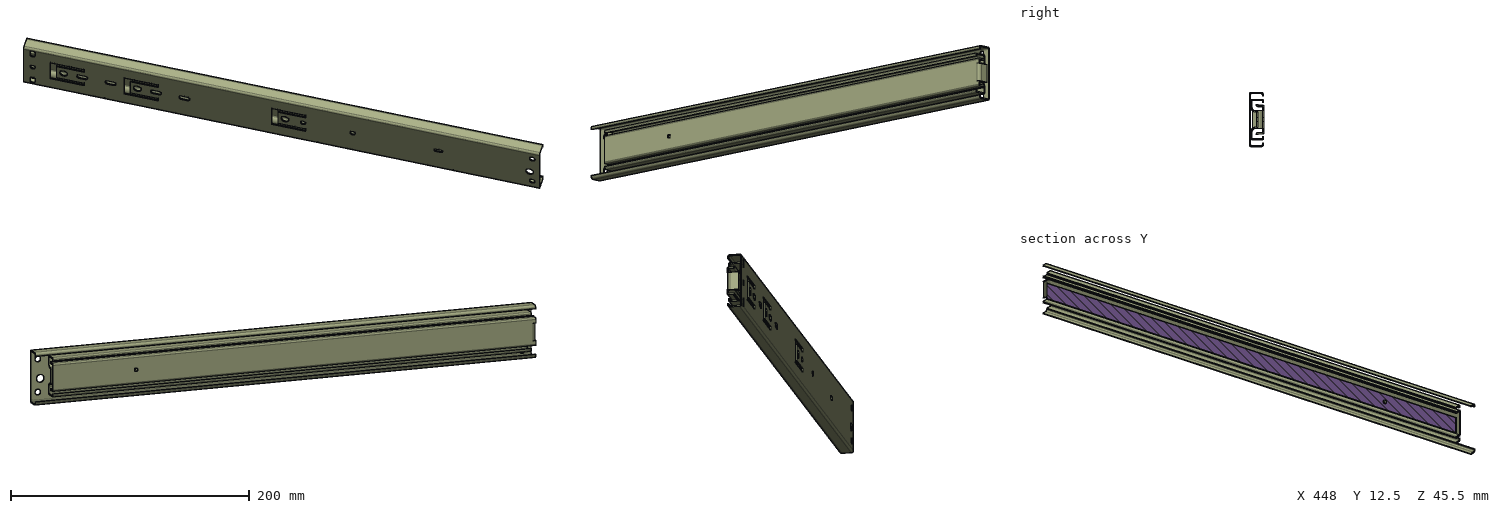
import cadquery as cq
import math


length = 448.0
depth = 12.5
width = 45.5

outer_sheet = 1.1
outer_depth = 12.0
outer_lip = 3.0
outer_back_bend = 2.0
outer_lip_bend = 2.2

middle_sheet = 1.1
middle_start = 4.0
middle_end = 432.5
web_gap = 0.22
middle_back = outer_sheet + web_gap
middle_front = outer_depth
middle_half_width = 17.0
middle_lip = 2.5
middle_bend = 1.5
hat_half_width = 6.3
hat_front = 7.0
hat_root_bend = 4.0
hat_crown_bend = 1.5

inner_sheet = 1.5
inner_end = middle_end
inner_half_width = 12.0
inner_back = 6.0
inner_lip = 2.0
inner_bend = 1.5

stop_half_width = 7.5
stop_back = 2.5
stop_bend = 2.5
stop_arm = 3.0

pitch = 64.0
slot_height = 4.5
slot_length = 9.5

first_tab = 23.5
tab_starts = [first_tab, first_tab + pitch, first_tab + 3 * pitch]
slotted_tab_starts = tab_starts[:2]
tab_window = 5.5
tab_cut_length = 29.5
tab_half_width = 7.0
tab_cut_width = 3.0
tab_hole_diameter = 6.5
tab_hole_offset = 11.5
tab_slot_offset = 28.0

first_web_slot = 75.5
web_slots = [first_web_slot, first_web_slot + pitch]
round_hole_diameter = 4.5
round_holes = [8.0, 243.0, 286.0]
end_slot_x = 8.0
end_slot_z = 17.0
end_slot_height = 7.5
mount_hole_x = 441.7
mount_hole_z = 14.5
mount_hole_diameter = 5.0
latch_hole_x = 439.5
latch_hole_z = -2.5
latch_hole_diameter = 6.5
pin_hole_x = 358.0
pin_hole_diameter = 3.0
pin_slot_x = 360.0
pin_slot_length = 7.5


def offset_line(path, thickness):
    """Shift a square-cornered (y, z) path by the sheet thickness to its left."""
    directions = []
    for (y0, z0), (y1, z1) in zip(path, path[1:]):
        run = math.hypot(y1 - y0, z1 - z0)
        directions.append(((y1 - y0) / run, (z1 - z0) / run))
    shifted = []
    for index, (y, z) in enumerate(path):
        before = directions[max(index - 1, 0)]
        after = directions[min(index, len(directions) - 1)]
        normals = {(-before[1], before[0]), (-after[1], after[0])}
        shifted.append((
            y + thickness * sum(normal[0] for normal in normals),
            z + thickness * sum(normal[1] for normal in normals),
        ))
    return shifted


def bent_sheet(half_path, bends, thickness, start, end):
    """Extrude a folded sheet, symmetric about Z = 0, along X and round its bends.

    Each bend radius is that of the outside of the bend; the inside is smaller by the sheet thickness.
    """
    path = half_path + [(y, -z) for y, z in reversed(half_path)]
    other = offset_line(path, thickness)
    radii = bends + bends[::-1]
    sheet = cq.Workplane("YZ", origin=(start, 0, 0)).polyline(path + other[::-1]).close().extrude(end - start)
    for index, radius in enumerate(radii, start=1):
        (y0, z0), (y1, z1), (y2, z2) = path[index - 1:index + 2]
        turns_left = (y1 - y0) * (z2 - z1) - (z1 - z0) * (y2 - y1) > 0
        inside, outside = (other[index], path[index]) if turns_left else (path[index], other[index])
        corners = [(outside, radius)]
        if radius > thickness:
            corners.append((inside, radius - thickness))
        for (y, z), corner_radius in corners:
            edge = cq.selectors.NearestToPointSelector(((start + end) / 2, y, z))
            sheet = sheet.edges("|X").edges(edge).fillet(corner_radius)
    return sheet


def box(x0, x1, y0, y1, z0, z1):
    """Block between two opposite corners."""
    return cq.Workplane("XY").box(x1 - x0, y1 - y0, z1 - z0, centered=False).translate((x0, y0, z0))


def hole(x, z, diameter, reach):
    """Round cutter that runs from Y = 0 toward +Y."""
    return cq.Workplane("XZ").center(x, z).circle(diameter / 2).extrude(-reach)


def slot(x, z, slot_span, slot_width, angle=0):
    """Round-ended cutter through the outer web."""
    return cq.Workplane("XZ").center(x, z).slot2D(slot_span, slot_width, angle).extrude(-outer_sheet)


def cut_tab(channel, start):
    """Free a flat tab, with a round hole in it, by a U-shaped cut in the outer web."""
    tab_edge = start + tab_window
    cut_half_width = tab_half_width + tab_cut_width
    channel = channel.cut(box(start, start + tab_cut_length, 0, outer_sheet, -cut_half_width, cut_half_width))
    tab = box(tab_edge, start + tab_cut_length, 0, outer_sheet, -tab_half_width, tab_half_width)
    tab = tab.cut(hole(start + tab_hole_offset, 0, tab_hole_diameter, outer_sheet))
    return channel.union(tab)


def make_outer_channel():
    half = width / 2
    profile = [(outer_depth, half - outer_lip), (outer_depth, half), (0, half)]
    bends = [outer_lip_bend, outer_back_bend]
    channel = bent_sheet(profile, bends, outer_sheet, 0, length)
    for start in tab_starts:
        channel = cut_tab(channel, start)
    for start in slotted_tab_starts:
        channel = channel.cut(slot(start + tab_slot_offset, 0, slot_length, slot_height))
    for x in web_slots:
        channel = channel.cut(slot(x, 0, slot_length, slot_height))
    for x in round_holes:
        channel = channel.cut(hole(x, 0, round_hole_diameter, outer_sheet))
    for side in (-1, 1):
        channel = channel.cut(slot(end_slot_x, side * end_slot_z, end_slot_height, slot_height, 90))
        channel = channel.cut(hole(mount_hole_x, side * mount_hole_z, mount_hole_diameter, outer_sheet))
    channel = channel.cut(hole(latch_hole_x, latch_hole_z, latch_hole_diameter, outer_sheet))
    return channel.cut(slot(pin_slot_x, 0, pin_slot_length, pin_hole_diameter))


def make_middle_channel():
    profile = [
        (middle_front, middle_half_width - middle_lip),
        (middle_front, middle_half_width),
        (middle_back, middle_half_width),
        (middle_back, hat_half_width),
        (hat_front - middle_sheet, hat_half_width),
    ]
    bends = [middle_bend, middle_bend, hat_root_bend, hat_crown_bend]
    channel = bent_sheet(profile, bends, middle_sheet, middle_start, middle_end)
    return channel.cut(hole(pin_hole_x, 0, pin_hole_diameter, depth))


def make_stop_tab():
    """L-shaped tongue continuing the inner web round a bend toward the outer web."""
    web_inside = depth - inner_sheet
    profile = [
        (stop_arm, depth),
        (0, depth),
        (0, stop_back),
        (inner_sheet, stop_back),
        (inner_sheet, web_inside),
        (stop_arm, web_inside),
    ]
    tab = cq.Workplane("XY", origin=(0, 0, -stop_half_width)).polyline(profile).close()
    tab = tab.extrude(2 * stop_half_width)
    inside_corner = cq.selectors.NearestToPointSelector((inner_sheet, web_inside, 0))
    outside_corner = cq.selectors.NearestToPointSelector((0, depth, 0))
    tab = tab.edges("|Z").edges(inside_corner).fillet(stop_bend - inner_sheet)
    return tab.edges("|Z").edges(outside_corner).fillet(stop_bend)


def make_inner_channel():
    profile = [
        (inner_back, inner_half_width - inner_sheet + inner_lip),
        (inner_back, inner_half_width - inner_sheet),
        (depth - inner_sheet, inner_half_width - inner_sheet),
    ]
    bends = [inner_bend, inner_bend]
    channel = bent_sheet(profile, bends, inner_sheet, 0, inner_end)
    relief = box(0, stop_arm, 0, depth, -stop_half_width, stop_half_width)
    channel = channel.cut(relief).union(make_stop_tab())
    return channel.cut(hole(pin_hole_x, 0, pin_hole_diameter, depth))


outer_channel = make_outer_channel().solids()
middle_channel = make_middle_channel().solids()
inner_channel = make_inner_channel().solids()

result = cq.Compound.makeCompound([outer_channel.val(), middle_channel.val(), inner_channel.val()])